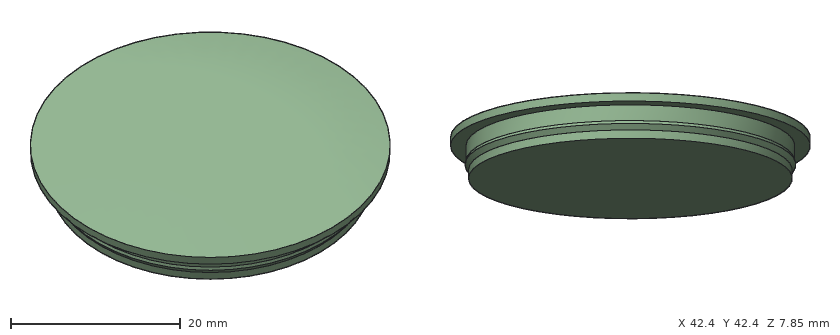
import cadquery as cq

flange_radius = 21.2
neck_radius = 19.38
bead_radius = 19.5
plug_radius = 19.1

bead_bottom = 1.0
bead_crest = 1.7
bead_top = 2.08
flange_bottom = 4.0
flange_top = 5.0
total_height = 7.85

dome_rise = total_height - flange_top
sphere_radius = (flange_radius**2 + dome_rise**2) / (2 * dome_rise)
sphere_center_z = total_height - sphere_radius
arc_mid_radius = flange_radius / 2
arc_mid_z = sphere_center_z + (sphere_radius**2 - arc_mid_radius**2) ** 0.5

profile = (
    cq.Workplane("XZ")
    .moveTo(0, 0)
    .lineTo(plug_radius, 0)
    .lineTo(plug_radius, bead_bottom)
    .lineTo(bead_radius, bead_crest)
    .lineTo(neck_radius, bead_top)
    .lineTo(neck_radius, flange_bottom)
    .lineTo(flange_radius, flange_bottom)
    .lineTo(flange_radius, flange_top)
    .threePointArc((arc_mid_radius, arc_mid_z), (0, total_height))
    .close()
)

result = profile.revolve(360, (0, 0, 0), (0, 1, 0))